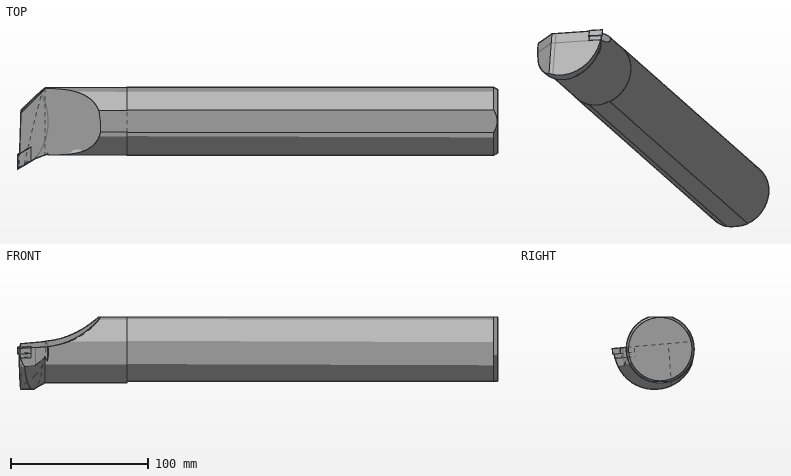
import cadquery as cq
import math

length = 350.0
shank_radius = 25.0
neck_radius = 24.68
neck_end = 79.8
flat_height = 23.5
end_chamfer_length = 3.0
end_chamfer_depth = 1.8

nose_x = 1.0
flare_radius = 29.5
flare_offset = -4.2
flare_end = 20.0
flare_angle = 30.0

tilt = 5.0
floor_height = 3.5
scoop_start = 22.5
scoop_radius = 46.2
scoop_axis_x = -21.0
nose_corner_x = 2.28
nose_corner_y = 6.12
nose_flat_width = 3.0
nose_corner_angle = 45.0
nose_clearance_angle = 1.0

tip_y = -34.82
insert_length = 9.8
insert_side = 10.5
insert_angle = 30.0
insert_thickness = 7.5
insert_land = 4.2
insert_clearance = 1.0
relief_mid_x = 13.0
relief_mid_y = -27.12
relief_end_x = 21.7
relief_end_y = -23.8

clear = 70.0


def tilted(body):
    return body.rotate((0, 0, 0), (1, 0, 0), tilt)


def make_bar():
    """Shank and neck, with the opposite flats; only the shank has the lower one."""
    shank = cq.Workplane("YZ", origin=(neck_end, 0, 0)).circle(shank_radius).extrude(length - neck_end)
    shank = shank.faces(">X").chamfer(end_chamfer_length, end_chamfer_depth)
    neck = cq.Workplane("YZ", origin=(nose_x, 0, 0)).circle(neck_radius).extrude(neck_end - nose_x)
    above = cq.Workplane("XY", origin=(0, 0, flat_height)).box(
        length, 2 * clear, clear, centered=(False, True, False))
    below = cq.Workplane("XY", origin=(neck_end, 0, -flat_height - clear)).box(
        length, 2 * clear, clear, centered=(False, True, False))
    return neck.union(shank.cut(below)).cut(above)


def make_flare():
    """Eccentric cylinder bounded by a cone that runs down to the neck."""
    run = flare_end - nose_x
    disc = cq.Workplane("YZ", origin=(nose_x, 0, 0)).center(flare_offset, 0).circle(flare_radius).extrude(run)
    wide_radius = neck_radius + run * math.tan(math.radians(flare_angle))
    cone = (cq.Workplane("XY")
            .polyline([(nose_x, 0), (nose_x, wide_radius), (flare_end, neck_radius), (flare_end, 0)])
            .close().revolve(360, (0, 0, 0), (1, 0, 0)))
    return disc.intersect(cone)


def make_scoop():
    """Flat chip floor that rises in a tangent arc, swept round an upright axis ahead of the nose."""
    floor_reach = scoop_start - scoop_axis_x
    wall_reach = floor_reach + scoop_radius
    arc_center_z = floor_height + scoop_radius
    arc_middle = (floor_reach + scoop_radius * math.sin(math.pi / 4),
                  arc_center_z - scoop_radius * math.cos(math.pi / 4))
    profile = (cq.Workplane("XZ").moveTo(0, floor_height).lineTo(floor_reach, floor_height)
               .threePointArc(arc_middle, (wall_reach, arc_center_z)).lineTo(0, arc_center_z).close())
    dish = profile.revolve(360, (0, 0, 0), (0, 1, 0))
    return tilted(dish.translate((scoop_axis_x, 0, 0)))


def make_nose_cut():
    """Everything ahead of the slanted corner, narrow flat and end face; they lean back below the insert."""
    corner_run = clear / math.tan(math.radians(nose_corner_angle))
    outline = [(nose_corner_x + corner_run, nose_corner_y + clear),
               (nose_corner_x, nose_corner_y),
               (nose_corner_x, nose_corner_y - nose_flat_width),
               (nose_x, tip_y), (nose_x, -clear), (-clear, -clear), (-clear, nose_corner_y + clear)]
    land_bottom = floor_height - insert_thickness
    step = cq.Workplane("XY", origin=(0, 0, land_bottom))
    upper = step.polyline(outline).close().extrude(clear)
    lower = step.polyline(outline).close().extrude(-clear, taper=-nose_clearance_angle)
    return tilted(upper.union(lower))


def make_relief():
    """Two upright faces on the cutting side, just behind the insert's edge."""
    slope = math.tan(math.radians(insert_angle))
    outline = [(0, relief_mid_y - relief_mid_x * slope), (relief_mid_x, relief_mid_y),
               (relief_end_x, relief_end_y), (clear, -clear), (0, -clear)]
    return tilted(cq.Workplane("XY").polyline(outline).close().extrude(clear, both=True))


def make_insert():
    """Rhomboid tip: an upper land over a base set back on the two cutting sides."""
    rise = insert_length * math.tan(math.radians(insert_angle))

    def block(setback, bottom, height):
        front_y = tip_y + setback
        outline = [(setback, front_y), (setback, tip_y + insert_side),
                   (insert_length, tip_y + insert_side + rise), (insert_length, front_y + rise)]
        return cq.Workplane("XY", origin=(0, 0, bottom)).polyline(outline).close().extrude(height)

    land = block(0, floor_height - insert_land, insert_land)
    base = block(insert_clearance, floor_height - insert_thickness, insert_thickness - insert_land)
    return tilted(land.union(base))


insert = make_insert()
holder = make_bar().union(make_flare())
for cutter in (make_scoop(), make_nose_cut(), make_relief(), insert):
    holder = holder.cut(cutter)

result = cq.Compound.makeCompound([holder.solids().val(), insert.solids().val()])